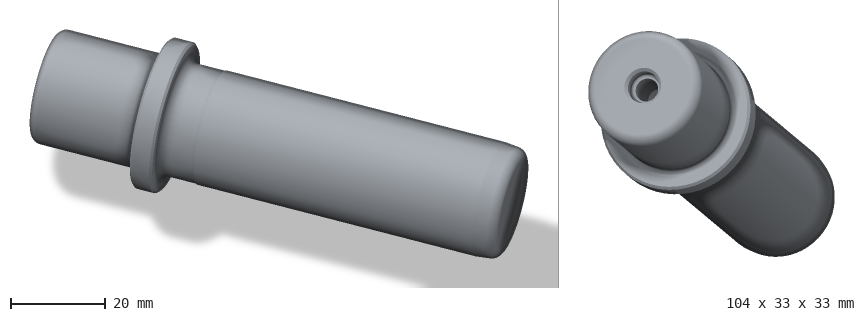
import cadquery as cq
import math

total_length = 104.0
pin_radius = 12.5
flange_diameter = 33.0
flange_radius = flange_diameter / 2
flange_start = 24.0
flange_width = 5.0
flange_end = flange_start + flange_width
flange_chamfer = 0.5
rear_round = 2.0
flange_fillet = 1.7

neck_depth = 0.16
neck_radius = pin_radius - neck_depth
neck_end = 37.0

relief_length = 1.1
relief_depth = 0.2
relief_height = 1.2
relief_slope_length = 0.6
relief_corner_round = 0.4

lead_length = 5.0
lead_drop = 0.3
nose_round = 2.2

counterbore_radius = 4.1
counterbore_chamfer = 0.6
counterbore_depth = 3.1
drill_radius = 2.5
drill_depth = 12.5
drill_point_angle = 118.0


def quarter_arc_middle(centre_x, centre_r, radius, side_x, side_r):
    """Point halfway along a quarter arc in the quadrant given by the two signs."""
    offset = radius * math.sqrt(0.5)
    return centre_x + side_x * offset, centre_r + side_r * offset


def make_body():
    nose_radius = pin_radius - lead_drop
    nose_start = total_length - nose_round
    rear_middle = quarter_arc_middle(rear_round, pin_radius - rear_round, rear_round, -1, 1)
    fillet_middle = quarter_arc_middle(
        flange_end + flange_fillet, neck_radius + flange_fillet, flange_fillet, -1, -1
    )
    nose_middle = quarter_arc_middle(nose_start, nose_radius - nose_round, nose_round, 1, 1)
    profile = (
        cq.Workplane("XY")
        .lineTo(0, pin_radius - rear_round)
        .threePointArc(rear_middle, (rear_round, pin_radius))
        .lineTo(flange_start, pin_radius)
        .lineTo(flange_start, flange_radius - flange_chamfer)
        .lineTo(flange_start + flange_chamfer, flange_radius)
        .lineTo(flange_end - flange_chamfer, flange_radius)
        .lineTo(flange_end, flange_radius - flange_chamfer)
        .lineTo(flange_end, neck_radius + flange_fillet)
        .threePointArc(fillet_middle, (flange_end + flange_fillet, neck_radius))
        .lineTo(neck_end, neck_radius)
        .lineTo(neck_end, pin_radius)
        .lineTo(total_length - lead_length, pin_radius)
        .lineTo(nose_start, nose_radius)
        .threePointArc(nose_middle, (total_length, nose_radius - nose_round))
        .lineTo(total_length, 0)
        .close()
    )
    return profile.revolve(360, (0, 0, 0), (1, 0, 0))


def make_relief():
    """Ring with sloped run-outs on the shank and flange face, joined by a rounded corner."""
    floor_radius = pin_radius - relief_depth
    floor_x = flange_start + relief_depth
    slope_end_x = flange_start - relief_length + relief_slope_length
    slope_end_radius = pin_radius + relief_height - relief_slope_length
    arc_start_x = floor_x - relief_corner_round
    arc_end_radius = floor_radius + relief_corner_round
    corner_middle = quarter_arc_middle(arc_start_x, arc_end_radius, relief_corner_round, 1, -1)
    profile = (
        cq.Workplane("XY")
        .moveTo(flange_start - relief_length, pin_radius)
        .lineTo(slope_end_x, floor_radius)
        .lineTo(arc_start_x, floor_radius)
        .threePointArc(corner_middle, (floor_x, arc_end_radius))
        .lineTo(floor_x, slope_end_radius)
        .lineTo(flange_start, pin_radius + relief_height)
        .lineTo(flange_start, pin_radius)
        .close()
    )
    return profile.revolve(360, (0, 0, 0), (1, 0, 0))


def make_centre_hole():
    point_length = drill_radius / math.tan(math.radians(drill_point_angle / 2))
    profile = cq.Workplane("XY").polyline([
        (0, 0),
        (0, counterbore_radius),
        (counterbore_chamfer, counterbore_radius - counterbore_chamfer),
        (counterbore_depth, counterbore_radius - counterbore_chamfer),
        (counterbore_depth, drill_radius),
        (drill_depth, drill_radius),
        (drill_depth + point_length, 0),
    ]).close()
    return profile.revolve(360, (0, 0, 0), (1, 0, 0))


result = make_body().cut(make_relief()).cut(make_centre_hole())